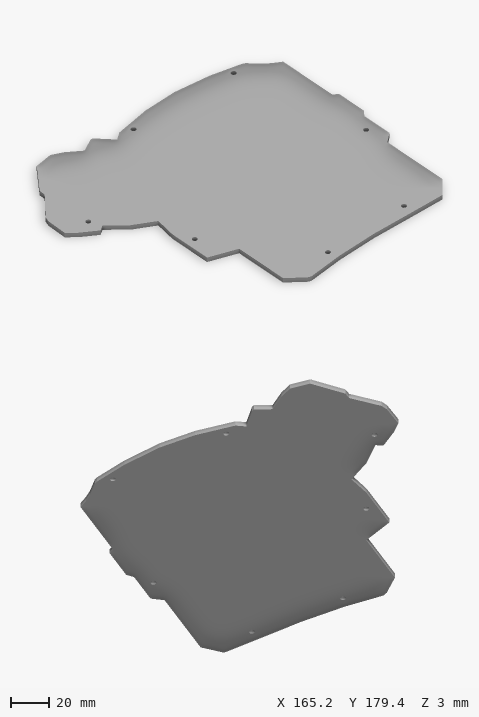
import cadquery as cq

width = 165.2
length = 179.4
thickness = 3.0
hole_diameter = 3.0

left = -width / 2
right = width / 2
back = length / 2
front = -length / 2

back_shoulder_y = 86.8
back_right_y = 80.9
front_right_y = -33.5
front_middle_y = -50.5

back_edge = [
    (-51.3, back_shoulder_y),
    (-14.5, back_shoulder_y),
    (-12.7, back),
    (6.0, back),
    (9.3, back_shoulder_y),
    (28.0, back_shoulder_y),
    (32.5, back_right_y),
    (73.4, back_right_y),
]

right_edge = [
    (right, 72.0),
    (81.3, 48.5),
    (79.8, 25.1),
    (79.8, 0.0),
    (81.5, -22.0),
    (80.4, -24.4),
]

front_edge = [
    (72.0, front_right_y),
    (39.5, front_right_y),
    (32.8, front_middle_y),
    (7.0, front_middle_y),
    (-5.7, -48.3),
]

thumb_lobe = [
    (-13.5, -61.0),
    (-23.5, -71.4),
    (-21.3, -75.0),
    (-28.2, -84.7),
    (-33.0, front),
    (-45.4, -89.3),
    (-49.0, -88.0),
    (-62.0, -75.9),
    (-66.0, -75.7),
    (-81.3, -63.0),
    (left, -51.8),
    (-79.1, -45.0),
    (-72.7, -36.6),
    (-77.0, -27.8),
    (-76.2, -26.4),
    (-67.1, -18.3),
]

left_edge = [
    (-70.3, -13.6),
    (-73.4, 8.5),
    (-73.4, 29.2),
    (-70.0, 51.5),
    (-65.0, 70.3),
    (-64.0, 72.0),
    (-57.2, 78.4),
    (-54.4, 82.0),
]

hole_centers = [
    (-62.8, 62.0),
    (17.8, 79.8),
    (74.8, 51.7),
    (73.5, -2.3),
    (17.8, -44.7),
    (-30.9, -74.6),
    (-67.1, -6.5),
]

outline = back_edge + right_edge + front_edge + thumb_lobe + left_edge
plate = cq.Workplane("XY").polyline(outline).close().extrude(thickness)
result = plate.faces(">Z").workplane(origin=(0, 0, thickness)).pushPoints(hole_centers).hole(hole_diameter)